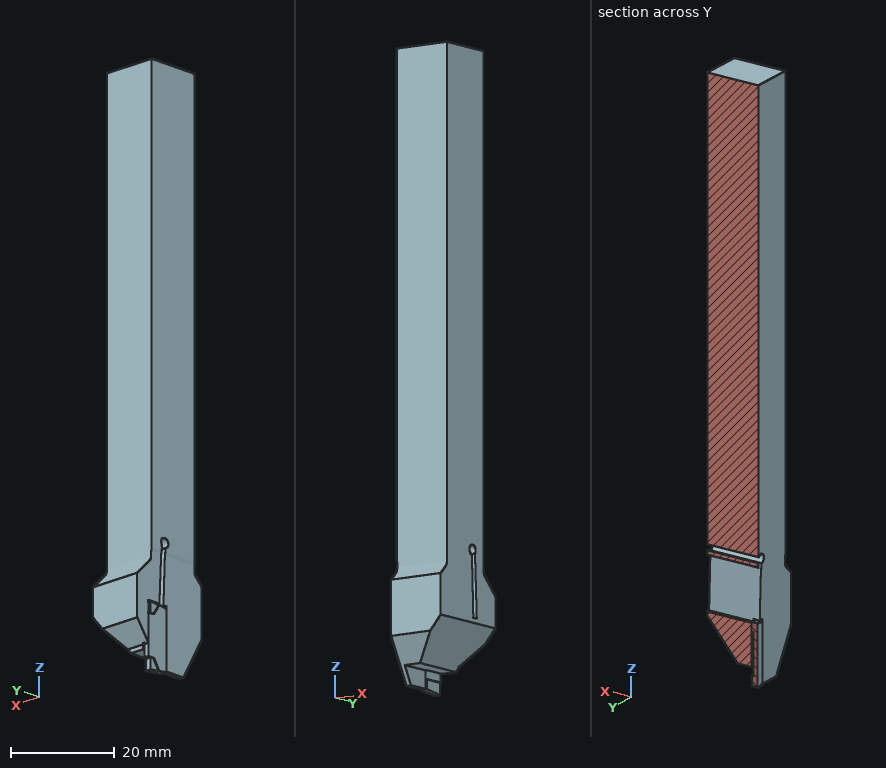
import cadquery as cq

total_length = 125.0
shank_width = 12.0
holder_bottom = 0.6
head_front_y = -2.0
head_back_y = 15.9
shoulder_z = 22.6
front_shoulder_drop = 2.0
back_shoulder_drop = 3.9
shoulder_fillet = 1.5
front_taper_z = 9.6
back_taper_z = 9.6
nose_front_y = 3.0
back_taper_end_y = 12.8
back_taper_end_z = 5.2

side_taper_top_z = 12.5
nose_step_z = 4.2
nose_step_x = 4.9
blade_thickness = 1.2

face_relief = 0.1
relief_top_z = 25.0
relief_bottom_z = 24.2

slot_hole_y = 8.4
slot_hole_z = 26.8
slot_hole_radius = 1.0
slot_top_front_y = 8.1
slot_top_back_y = 9.1
slot_bottom_front_y = 8.6
slot_bottom_back_y = 9.8

insert_front_y = 7.8
insert_back_y = 12.8
tip_y = 12.0
insert_mid_z = 7.0
tip_clearance = 0.5
tip_height = 2.5
tip_thickness = 1.6
tip_face_relief = 0.1
tip_relief_y = 11.2
tip_relief_front_y = 9.6
insert_top_z = 2 * insert_mid_z


def extrude_yz(points, start_x, end_x):
    """Extrude a closed Y-Z outline from start_x to end_x."""
    return cq.Workplane("YZ", origin=(start_x, 0, 0)).polyline(points).close().extrude(end_x - start_x)


def extrude_xz(points):
    """Extrude a closed X-Z outline across the whole depth of the head."""
    outline = cq.Workplane("XZ", origin=(0, head_back_y, 0)).polyline(points).close()
    return outline.extrude(head_back_y - head_front_y)


def make_blank():
    blank = extrude_yz([
        (0, total_length),
        (0, shoulder_z),
        (head_front_y, shoulder_z - front_shoulder_drop),
        (head_front_y, front_taper_z),
        (nose_front_y, holder_bottom),
        (back_taper_end_y, holder_bottom),
        (back_taper_end_y, back_taper_end_z),
        (head_back_y, back_taper_z),
        (head_back_y, shoulder_z - back_shoulder_drop),
        (shank_width, shoulder_z),
        (shank_width, total_length),
    ], 0, shank_width)
    front_corner = cq.selectors.NearestToPointSelector((shank_width / 2, 0, shoulder_z))
    back_corner = cq.selectors.NearestToPointSelector((shank_width / 2, shank_width, shoulder_z))
    return blank.edges(front_corner).fillet(shoulder_fillet).edges(back_corner).fillet(shoulder_fillet)


def make_side_taper():
    return extrude_xz([
        (shank_width, side_taper_top_z),
        (nose_step_x, nose_step_z),
        (blade_thickness, nose_step_z),
        (blade_thickness, 0),
        (shank_width, 0),
    ])


def make_face_relief():
    return extrude_xz([
        (0, relief_top_z),
        (face_relief, relief_bottom_z),
        (face_relief, 0),
        (0, 0),
    ])


def make_slot():
    slit = extrude_yz([
        (slot_top_front_y, slot_hole_z),
        (slot_top_back_y, slot_hole_z),
        (slot_bottom_back_y, insert_top_z - tip_clearance),
        (slot_bottom_front_y, insert_top_z - tip_clearance),
    ], 0, shank_width)
    hole = (
        cq.Workplane("YZ")
        .center(slot_hole_y, slot_hole_z)
        .circle(slot_hole_radius)
        .extrude(shank_width)
    )
    return slit.union(hole)


def make_insert_pocket():
    return extrude_yz([
        (insert_front_y, 0),
        (insert_back_y, 0),
        (insert_back_y, insert_top_z),
        (insert_front_y, insert_top_z),
    ], 0, tip_thickness)


def make_holder():
    holder = make_blank().cut(make_side_taper()).cut(make_face_relief())
    return holder.cut(make_slot()).cut(make_insert_pocket())


def make_insert_half():
    """Lower half of the insert: a flat bar that ends in a thicker cutting tip."""
    bar = extrude_yz([
        (insert_front_y, insert_mid_z),
        (insert_front_y, tip_clearance),
        (tip_y, 0),
        (tip_y, tip_height),
        (insert_back_y, tip_height),
        (insert_back_y, insert_mid_z),
    ], face_relief, blade_thickness)
    tip = extrude_yz([
        (insert_front_y, tip_clearance),
        (tip_y, 0),
        (tip_y, tip_height),
        (insert_front_y, tip_height),
    ], blade_thickness, tip_thickness)
    relief = extrude_yz([
        (tip_relief_front_y, 0),
        (insert_back_y, 0),
        (insert_back_y, tip_height),
        (tip_relief_y, tip_height),
    ], face_relief, face_relief + tip_face_relief)
    return bar.union(tip).cut(relief)


def make_insert():
    lower_half = make_insert_half()
    upper_half = lower_half.mirror("XY", (0, 0, insert_mid_z))
    return lower_half.union(upper_half)


holder = make_holder()
insert = make_insert()

result = cq.Compound.makeCompound([holder.val(), insert.val()])